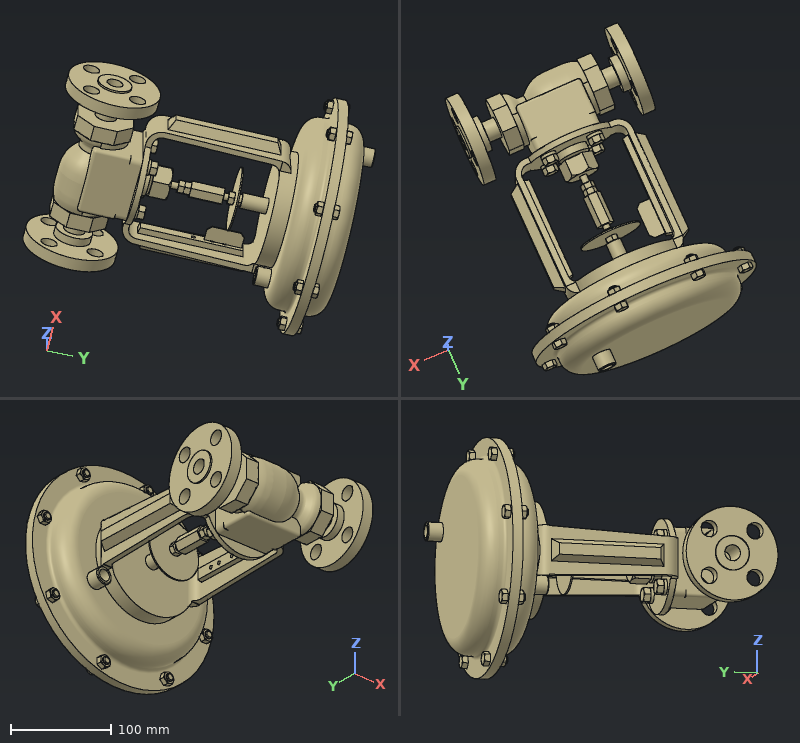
import cadquery as cq
import math


OVERALL_LENGTH = 322.0

RIM_R = 241.3 / 2
RIM_Y = (223.2, 234.0)
DOME_R = 98.5
DOME_CORNER_R = 16.8
ROOT_R = 4.0
DOME_FRONT_Y = 197.8
DOME_BACK_Y = 259.0

RIM_BOLT_COUNT = 8
RIM_BOLT_CIRCLE_R = 110.8
RIM_BOLT_START = 75
RIM_HEX_R = 14.5 / 2
RIM_HEX_TURN = 15
RIM_HEX_HEIGHT = 6.0
RIM_THREAD_R = 4.2
RIM_THREAD_END = 8.5
RIM_THREAD_CHAMFER = 1.0

PORT_X = 60.5
PORT_Z = 35.5
PORT_R = 9.7
PORT_BORE_R = 6.5
FRONT_PORT_LENGTH = 15.0
PORT_CHAMFER = 1.0

DRUM_R = 59.0
DRUM_FRONT_Y = 180.5
ARM_OUTER_X = 63.8
ARM_THICKNESS = 6.5
ARM_INNER_X = ARM_OUTER_X - ARM_THICKNESS
ARM_TOP_HALF_WIDTH = 25.5
ARM_TAPER_TOP_HALF_WIDTH = 24.8
ARM_FOOT_HALF_WIDTH = 19.5
SHOULDER_TOP_Y = 191.5
SHOULDER_OUTER_R = 11.5
SHOULDER_INNER_R = 9.0
FOOT_OUTER_R = 16.0
FOOT_INNER_R = FOOT_OUTER_R - ARM_THICKNESS

PLATE_R = 48.0
PLATE_BACK_Y = 50.3
PLATE_FRONT_Y = PLATE_BACK_Y - ARM_THICKNESS
ARM_TAPER_FOOT_Y = PLATE_FRONT_Y + FOOT_OUTER_R

OUTER_RIB_HEIGHT = 10.0
OUTER_RIB_Y = (62.5, 178.8)
OUTER_RIB_HALF_WIDTH = 11.3
OUTER_RIB_SLOPE_Y = 5.8
OUTER_RIB_SLOPE_Z = 5.5
INNER_RIB_HEIGHT = 6.5
INNER_RIB_Y = (61.2, 170.0)
INNER_RIB_HALF_WIDTH = 6.0
INNER_RIB_SLOPE_Y = 1.5
RIB_HOLES_Y = (117.3, 136.5, 148.8)
RIB_HOLE_R = 2.0

SCALE_Y = (128.2, 167.0)
SCALE_WIDTH = 15.8
SCALE_CHAMFER = 4.5
SCALE_THICKNESS = 1.5

ACTUATOR_ROD_R = 8.0
ACTUATOR_ROD_END_Y = 153.5
NECK_R = 6.0
NECK_ACROSS_FLATS = 9.7
NECK_FLAT_TURN = 35
DISC_R = 32.5
DISC_Y = (146.2, 148.0)
STEM_NUT_R = 14.5 / 2
DISC_NUT_END_Y = 140.0
STEM_R = 4.0
COUPLING_R = 9.5
COUPLING_Y = (101.0, 135.0)
LOCK_NUTS_Y = (88.5, 94.7)

PACKING_NUT_R = 18.7
PACKING_NUT_TURN = -7
PACKING_NUT_Y = (61.0, 80.0)
BONNET_R = 16.8
BONNET_TOP_R = 13.5
BONNET_SHOULDER_Y = 58.0
BOLT_PITCH = 50.3
BOLT_SHANK_R = 4.8
BOLT_HEAD_R = 8.0
WASHER_R = 8.0
WASHER_THICKNESS = 3.2
BOLT_HEAD_HEIGHT = 7.0

BLOCK_WIDTH = 71.0
UPPER_BLOCK_CORNER_R = 6.5
LOWER_BLOCK_CORNER_R = 3.2
BLOCK_STEP_Y = 31.5
BLOCK_FRONT_Y = -6.5

COLLAR_X = (41.5, 57.5)
COLLAR_ACROSS_FLATS = 57.5
NECK_END_R = 28.7
BULB_R = 32.2
BULB_X = (-24.5, -7.0)
WAIST_R = 18.7
WAIST_X = (21.5, 26.0)
WAIST_FILLET_END = (29.3, 20.0)

FLANGE_R = 95.0 / 2
FLANGE_X = (80.5, 93.7)
RAISED_FACE_R = 17.5
RAISED_FACE_HEIGHT = 2.0
HUB_R = 19.0
HUB_LENGTH = 8.7
PIPE_R = 11.0
BORE_R = 8.0
FLANGE_HOLE_R = 16.5 / 2
FLANGE_HOLE_CIRCLE_R = 33.5
FLANGE_HOLE_COUNT = 4

HEX_CHAMFER_RATIO = 0.13


def rod(radius, front_y, back_y, x=0, z=0):
    """Cylinder along Y."""
    plane = cq.Workplane("XZ", origin=(x, back_y, z))
    return plane.circle(radius).extrude(back_y - front_y)


def hexagon(corner_r, front_y, back_y, x=0, z=0, turn=0, chamfered=None):
    """Hexagonal prism along Y; chamfered is '<Y' or '>Y' for a nut chamfer on that end."""
    plane = cq.Workplane("XZ", origin=(x, back_y, z)).transformed(rotate=(0, 0, turn))
    prism = plane.polygon(6, 2 * corner_r).extrude(back_y - front_y)
    if chamfered:
        blank = rod(corner_r, front_y, back_y, x, z)
        prism = prism.intersect(blank.faces(chamfered).chamfer(HEX_CHAMFER_RATIO * corner_r))
    return prism


def both_sides(shape):
    """Add the mirror image on the -X side."""
    return shape.union(shape.mirror("YZ"))


def dome(rim_face_y, top_y):
    """One casing half: rounded dome with a concave root on the rim."""
    direction = math.copysign(1, top_y - rim_face_y)
    flat_r = DOME_R - DOME_CORNER_R
    diagonal = math.sqrt(0.5)
    corner_mid = (
        flat_r + DOME_CORNER_R * diagonal,
        top_y - direction * DOME_CORNER_R * (1 - diagonal),
    )
    root_mid = (
        DOME_R + ROOT_R * (1 - diagonal),
        rim_face_y + direction * ROOT_R * (1 - diagonal),
    )
    return (
        cq.Workplane("XY")
        .moveTo(0, rim_face_y)
        .lineTo(0, top_y)
        .lineTo(flat_r, top_y)
        .threePointArc(corner_mid, (DOME_R, top_y - direction * DOME_CORNER_R))
        .lineTo(DOME_R, rim_face_y + direction * ROOT_R)
        .threePointArc(root_mid, (DOME_R + ROOT_R, rim_face_y))
        .close()
        .revolve(360, (0, 0), (0, 1))
    )


def rim_bolt(angle):
    """Bolt head behind the rim, nut and thread end in front of it."""
    x = RIM_BOLT_CIRCLE_R * math.cos(math.radians(angle))
    z = RIM_BOLT_CIRCLE_R * math.sin(math.radians(angle))
    turn = angle + RIM_HEX_TURN
    front, back = RIM_Y
    head = hexagon(RIM_HEX_R, back, back + RIM_HEX_HEIGHT, x, z, turn, ">Y")
    nut = hexagon(RIM_HEX_R, front - RIM_HEX_HEIGHT, front, x, z, turn, "<Y")
    thread = rod(RIM_THREAD_R, front - RIM_THREAD_END, front, x, z)
    thread = thread.faces("<Y").chamfer(RIM_THREAD_CHAMFER)
    return head.union(nut).union(thread)


def make_actuator():
    front, back = RIM_Y
    body = rod(RIM_R, front, back).union(dome(back, DOME_BACK_Y)).union(dome(front, DOME_FRONT_Y))

    for index in range(RIM_BOLT_COUNT):
        body = body.union(rim_bolt(RIM_BOLT_START + index * 360 / RIM_BOLT_COUNT))

    front_port_end = DOME_FRONT_Y - FRONT_PORT_LENGTH
    back_port_end = OVERALL_LENGTH - FLANGE_R
    front_port = rod(PORT_R, front_port_end, DOME_FRONT_Y, -PORT_X, -PORT_Z)
    back_port = rod(PORT_R, DOME_BACK_Y, back_port_end, PORT_X, PORT_Z)
    body = body.union(front_port.faces("<Y").chamfer(PORT_CHAMFER))
    body = body.union(back_port.faces(">Y").chamfer(PORT_CHAMFER))
    body = body.cut(rod(PORT_BORE_R, front_port_end, DOME_FRONT_Y, -PORT_X, -PORT_Z))
    return body.cut(rod(PORT_BORE_R, DOME_BACK_Y, back_port_end, PORT_X, PORT_Z))


def arm_frame():
    """Solid frame outline of both arms: rounded at the shoulders and feet, narrowing to the feet."""
    height = SHOULDER_TOP_Y - PLATE_FRONT_Y
    depth = 2 * ARM_TOP_HALF_WIDTH
    outline = (
        cq.Workplane("XY")
        .box(2 * ARM_OUTER_X, height, depth)
        .edges("|Z and >Y")
        .fillet(SHOULDER_OUTER_R)
        .edges("|Z and <Y")
        .fillet(FOOT_OUTER_R)
        .translate((0, PLATE_FRONT_Y + height / 2, 0))
    )
    half_width = [
        (SHOULDER_TOP_Y, ARM_TOP_HALF_WIDTH),
        (DRUM_FRONT_Y, ARM_TOP_HALF_WIDTH),
        (DRUM_FRONT_Y, ARM_TAPER_TOP_HALF_WIDTH),
        (ARM_TAPER_FOOT_Y, ARM_FOOT_HALF_WIDTH),
        (PLATE_FRONT_Y, ARM_FOOT_HALF_WIDTH),
    ]
    other_half = [(y, -z) for y, z in reversed(half_width)]
    taper = cq.Workplane("YZ").polyline(half_width + other_half).close().extrude(ARM_OUTER_X, both=True)
    return outline.intersect(taper)


def yoke_opening():
    """Window between the arms; its upper corners also round off the sides of the drum face."""
    height = DRUM_FRONT_Y - PLATE_BACK_Y
    return (
        cq.Workplane("XY")
        .box(2 * ARM_INNER_X, height, 2 * DRUM_R)
        .edges("|Z and >Y")
        .fillet(SHOULDER_INNER_R)
        .edges("|Z and <Y")
        .fillet(FOOT_INNER_R)
        .translate((0, PLATE_BACK_Y + height / 2, 0))
    )


def rib(base_x, height, y_range, half_width, slope_y, slope_z):
    """Raised rib on an arm face, its crest inset by the slopes; a negative height points to -X."""
    y_low, y_high = y_range
    length = y_high - y_low
    return (
        cq.Workplane("YZ", origin=(base_x, (y_low + y_high) / 2, 0))
        .rect(length, 2 * half_width)
        .workplane(offset=height)
        .rect(length - 2 * slope_y, 2 * (half_width - slope_z))
        .loft(combine=True)
    )


def travel_scale():
    """Thin plate on the inner rib of the -X arm."""
    y_low, y_high = SCALE_Y
    root_x = INNER_RIB_HEIGHT - ARM_INNER_X
    return (
        cq.Workplane("XY")
        .box(SCALE_WIDTH, y_high - y_low, SCALE_THICKNESS)
        .edges("|Z and >X")
        .chamfer(SCALE_CHAMFER)
        .translate((root_x + SCALE_WIDTH / 2, (y_low + y_high) / 2, 0))
    )


def make_yoke():
    body = arm_frame().union(rod(DRUM_R, DRUM_FRONT_Y - SHOULDER_INNER_R, DOME_FRONT_Y))
    body = body.cut(yoke_opening())
    outer_rib = rib(
        ARM_OUTER_X,
        OUTER_RIB_HEIGHT,
        OUTER_RIB_Y,
        OUTER_RIB_HALF_WIDTH,
        OUTER_RIB_SLOPE_Y,
        OUTER_RIB_SLOPE_Z,
    )
    inner_rib = rib(ARM_INNER_X, -INNER_RIB_HEIGHT, INNER_RIB_Y, INNER_RIB_HALF_WIDTH, INNER_RIB_SLOPE_Y, 0)
    for y in RIB_HOLES_Y:
        hole = cq.Workplane("YZ", origin=(ARM_INNER_X - INNER_RIB_HEIGHT, y, 0))
        inner_rib = inner_rib.cut(hole.circle(RIB_HOLE_R).extrude(INNER_RIB_HEIGHT))
    body = body.union(both_sides(outer_rib)).union(both_sides(inner_rib)).union(travel_scale())
    body = body.union(rod(PLATE_R, PLATE_FRONT_Y, PLATE_BACK_Y))
    body = body.cut(rod(BONNET_R, PLATE_FRONT_Y, PLATE_BACK_Y))
    for x, z in bolt_places():
        body = body.cut(rod(BOLT_SHANK_R, PLATE_FRONT_Y, PLATE_BACK_Y, x, z))
    return body


def make_stem():
    disc_front, disc_back = DISC_Y
    coupling_front, coupling_back = COUPLING_Y
    neck = rod(NECK_R, disc_back, ACTUATOR_ROD_END_Y)
    neck_height = ACTUATOR_ROD_END_Y - disc_back
    flats = (
        cq.Workplane("XY")
        .box(2 * NECK_R, neck_height, NECK_ACROSS_FLATS)
        .rotate((0, 0, 0), (0, 1, 0), NECK_FLAT_TURN)
        .translate((0, disc_back + neck_height / 2, 0))
    )
    body = rod(ACTUATOR_ROD_R, ACTUATOR_ROD_END_Y, DRUM_FRONT_Y)
    body = body.union(neck.intersect(flats))
    body = body.union(rod(DISC_R, disc_front, disc_back))
    body = body.union(hexagon(STEM_NUT_R, DISC_NUT_END_Y, disc_front, chamfered=">Y"))
    body = body.union(rod(STEM_R, PACKING_NUT_Y[1], disc_front))
    body = body.union(hexagon(COUPLING_R, coupling_front, coupling_back))
    body = body.union(hexagon(STEM_NUT_R, LOCK_NUTS_Y[1], coupling_front, chamfered="<Y"))
    return body.union(hexagon(STEM_NUT_R, LOCK_NUTS_Y[0], LOCK_NUTS_Y[1]))


def bolt_places():
    half = BOLT_PITCH / 2
    return [(x, z) for x in (-half, half) for z in (-half, half)]


def valve_block():
    upper_depth = PLATE_FRONT_Y - BLOCK_STEP_Y
    upper = (
        cq.Workplane("XZ", origin=(0, PLATE_FRONT_Y, 0))
        .rect(BLOCK_WIDTH, BLOCK_WIDTH)
        .extrude(upper_depth)
        .edges("|Y")
        .fillet(UPPER_BLOCK_CORNER_R)
    )
    lower = (
        cq.Workplane("XZ", origin=(0, BLOCK_STEP_Y, 0))
        .rect(BLOCK_WIDTH, BLOCK_WIDTH)
        .extrude(BLOCK_STEP_Y - BLOCK_FRONT_Y)
        .edges("|Y or <Y")
        .fillet(LOWER_BLOCK_CORNER_R)
    )
    return upper.union(lower)


def flow_body():
    """Half turned bulb, waist and bulge in front of the pipe axis, plain half tube behind it."""
    end_x = COLLAR_X[0]
    bulb_start, bulb_end = BULB_X
    waist_start, waist_end = WAIST_X
    turned = (
        cq.Workplane("XZ")
        .moveTo(-end_x, 0)
        .lineTo(-end_x, NECK_END_R)
        .spline([(bulb_start, BULB_R)], tangents=[(2, 1), (1, 0)], includeCurrent=True)
        .lineTo(bulb_end, BULB_R)
        .spline([(waist_start, WAIST_R)], tangents=[(1, 0), (1, -1)], includeCurrent=True)
        .lineTo(waist_end, WAIST_R)
        .tangentArcPoint(WAIST_FILLET_END, relative=False)
        .spline([(end_x, NECK_END_R)], tangents=[(1, 1), (1, 0)], includeCurrent=True)
        .lineTo(end_x, 0)
        .close()
        .revolve(180, (0, 0), (1, 0))
    )
    tube = (
        cq.Workplane("YZ", origin=(-end_x, 0, 0))
        .moveTo(0, -NECK_END_R)
        .threePointArc((NECK_END_R, 0), (0, NECK_END_R))
        .close()
        .extrude(2 * end_x)
    )
    return turned.union(tube)


def octagonal_collar():
    inner_x, outer_x = COLLAR_X
    corner_diameter = COLLAR_ACROSS_FLATS / math.cos(math.pi / 8)
    plane = cq.Workplane("YZ", origin=(inner_x, 0, 0)).transformed(rotate=(0, 0, 180 / 8))
    return plane.polygon(8, corner_diameter).extrude(outer_x - inner_x)


def bonnet():
    """Neck through the yoke plate, with a conical shoulder and the packing nut on top."""
    nut_front, nut_back = PACKING_NUT_Y
    neck = (
        cq.Workplane("XY")
        .polyline([
            (0, PLATE_FRONT_Y),
            (BONNET_R, PLATE_FRONT_Y),
            (BONNET_R, BONNET_SHOULDER_Y),
            (BONNET_TOP_R, nut_front),
            (0, nut_front),
        ])
        .close()
        .revolve(360, (0, 0), (0, 1))
    )
    nut = hexagon(PACKING_NUT_R, nut_front, nut_back, turn=PACKING_NUT_TURN, chamfered=">Y")
    return neck.union(nut)


def bonnet_bolt(x, z):
    head_front = PLATE_BACK_Y + WASHER_THICKNESS
    shank = rod(BOLT_SHANK_R, PLATE_FRONT_Y, PLATE_BACK_Y, x, z)
    washer = rod(WASHER_R, PLATE_BACK_Y, head_front, x, z)
    head = hexagon(BOLT_HEAD_R, head_front, head_front + BOLT_HEAD_HEIGHT, x, z, chamfered=">Y")
    return shank.union(washer).union(head)


def make_valve():
    body = valve_block().union(flow_body()).union(both_sides(octagonal_collar())).union(bonnet())
    for x, z in bolt_places():
        body = body.union(bonnet_bolt(x, z))
    return body


def make_flange(turn):
    """Flange, hub and pipe stub on the +X side, turned about Y to its end of the valve."""
    back_x, front_x = FLANGE_X
    face_x = front_x + RAISED_FACE_HEIGHT
    pipe_x = COLLAR_X[1]
    half_profile = [
        (pipe_x, BORE_R),
        (pipe_x, PIPE_R),
        (back_x - HUB_LENGTH, PIPE_R),
        (back_x - HUB_LENGTH, HUB_R),
        (back_x, HUB_R),
        (back_x, FLANGE_R),
        (front_x, FLANGE_R),
        (front_x, RAISED_FACE_R),
        (face_x, RAISED_FACE_R),
        (face_x, BORE_R),
    ]
    body = cq.Workplane("XY").polyline(half_profile).close().revolve(360, (0, 0), (1, 0))
    holes = (
        cq.Workplane("YZ", origin=(back_x, 0, 0))
        .polarArray(FLANGE_HOLE_CIRCLE_R, 180 / FLANGE_HOLE_COUNT, 360, FLANGE_HOLE_COUNT)
        .circle(FLANGE_HOLE_R)
        .extrude(front_x - back_x)
    )
    return body.cut(holes).rotate((0, 0, 0), (0, 1, 0), turn)


actuator = make_actuator()
yoke = make_yoke()
stem = make_stem()
valve = make_valve()
flanges = [make_flange(turn) for turn in (0, 180)]

result = cq.Compound.makeCompound([
    actuator.val(),
    yoke.val(),
    stem.val(),
    valve.val(),
    *[flange.val() for flange in flanges],
])